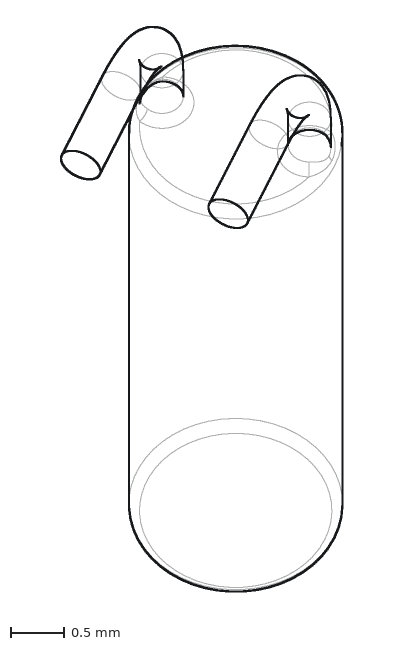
import cadquery as cq

body_diameter = 2.0
body_radius = body_diameter / 2
body_height = 6.0
edge_radius = 0.1

lead_diameter = 0.4
lead_radius = lead_diameter / 2
lead_offset = 0.75
overall_height = 7.7
bend_radius = 1.0
lead_reach = 2.0
root_depth = 2 * edge_radius

root_fillet = 0.1
edge_tolerance = 0.01

lead_axis_top = overall_height - lead_radius
bend_start = lead_axis_top - bend_radius
root_height = body_height - root_depth


def make_body():
    can = cq.Workplane("XY").circle(body_radius).extrude(body_height)
    return can.edges("%CIRCLE").fillet(edge_radius)


def add_riser(part, x):
    """Straight foot of a lead, growing out of the can top."""
    riser = (
        cq.Workplane("XY", origin=(x, 0, root_height))
        .circle(lead_radius)
        .extrude(bend_start - root_height)
    )
    return part.union(riser)


def is_root_edge(edge):
    """True for the edges where a lead leaves the can, which are no wider than the lead."""
    center = edge.Center()
    near_can_top = abs(center.z - body_height) < root_depth
    beside_lead_axis = abs(abs(center.x) - lead_offset) <= lead_radius
    within_lead_width = edge.BoundingBox().ylen < lead_diameter + edge_tolerance
    return near_can_top and beside_lead_axis and within_lead_width


def fillet_roots(part):
    root_edges = [edge for edge in part.edges().vals() if is_root_edge(edge)]
    return part.newObject(root_edges).fillet(root_fillet)


def add_bent_end(part, x):
    """Quarter bend towards -Y, followed by the straight tip."""
    bend = (
        cq.Workplane("XY", origin=(x, 0, bend_start))
        .circle(lead_radius)
        .revolve(90, (0, -bend_radius, 0), (1, -bend_radius, 0))
    )
    tip = (
        cq.Workplane("XZ", origin=(x, -bend_radius, lead_axis_top))
        .circle(lead_radius)
        .extrude(lead_reach - bend_radius)
    )
    return part.union(bend).union(tip)


lead_positions = (-lead_offset, lead_offset)

result = make_body()
for lead_x in lead_positions:
    result = add_riser(result, lead_x)
result = fillet_roots(result)
for lead_x in lead_positions:
    result = add_bent_end(result, lead_x)